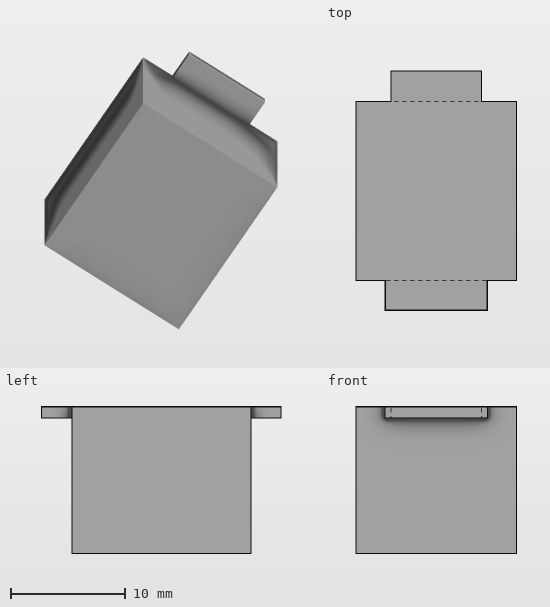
import cadquery as cq

body_width = 14.0
body_length = 15.6
body_height = 12.8

tab_thickness = 1.0
front_tab_width = 8.9
front_tab_reach = 2.6
rear_tab_width = 7.9
rear_tab_reach = 2.65


def make_body():
    """Plain block centred on X and Y, standing on Z = 0."""
    return cq.Workplane("XY").box(body_width, body_length, body_height, centered=(True, True, False))


def make_tab(width, reach, side):
    """Flat tab on the +Y (side = 1) or -Y (side = -1) end of the block."""
    tab_center_y = side * (body_length + reach) / 2
    tab_bottom_z = body_height - tab_thickness
    return (
        cq.Workplane("XY")
        .box(width, reach, tab_thickness, centered=(True, True, False))
        .translate((0, tab_center_y, tab_bottom_z))
    )


front_tab = make_tab(front_tab_width, front_tab_reach, side=-1)
rear_tab = make_tab(rear_tab_width, rear_tab_reach, side=1)

result = make_body().union(front_tab).union(rear_tab)